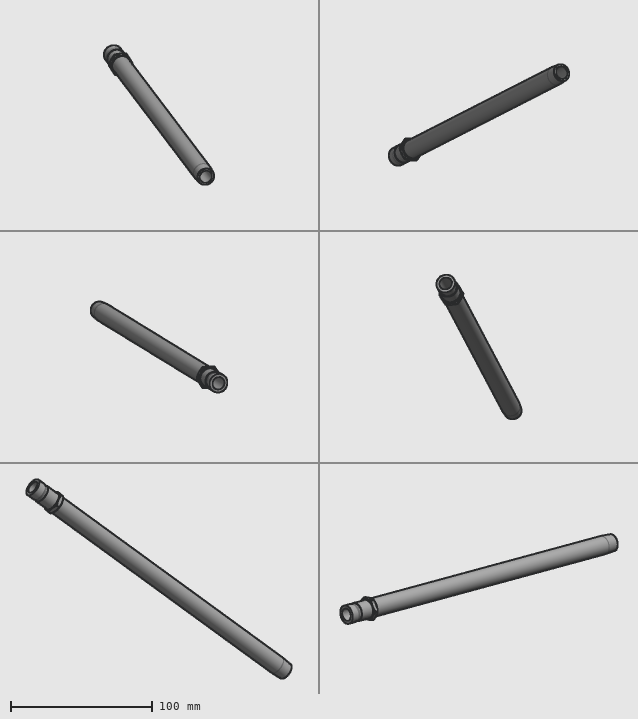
import cadquery as cq
import math

length = 250.0
tube_diameter = 13.5
bore_diameter = 9.0

hex_sides = 6
hex_start = 19.0
hex_width = 3.8
hex_across_flats = 15.0
hex_chamfer_angle = 40.0
hex_chamfer_diameter = 15.0

groove_start = 5.8
groove_slope_length = 1.2
groove_width = 3.0
groove_depth = 0.38

taper_length = 9.0
taper_end_diameter = 12.5
end_chamfer = 0.2

x_start = -length / 2
x_end = length / 2


def revolve_about_x(points):
    """Solid of revolution about X from (x, radius) points."""
    return cq.Workplane("XY").polyline(points).close().revolve(360, (0, 0, 0), (1, 0, 0))


def make_tube():
    """Solid tube body with the groove and the tapered, chamfered end."""
    tube_radius = tube_diameter / 2
    end_radius = taper_end_diameter / 2
    groove_radius = tube_radius - groove_depth
    groove_x = x_start + groove_start
    groove_end_x = groove_x + groove_width
    return revolve_about_x([
        (x_start, 0),
        (x_start, tube_radius),
        (groove_x, tube_radius),
        (groove_x + groove_slope_length, groove_radius),
        (groove_end_x, groove_radius),
        (groove_end_x, tube_radius),
        (x_end - taper_length, tube_radius),
        (x_end - end_chamfer, end_radius),
        (x_end, end_radius - end_chamfer),
        (x_end, 0),
    ])


def make_hex_collar():
    """Hexagon with flats facing +Z and -Z, its corners chamfered on both faces."""
    corner_diameter = hex_across_flats / math.cos(math.pi / hex_sides)
    x_front = x_start + hex_start
    x_back = x_front + hex_width
    prism = (
        cq.Workplane("YZ", origin=(x_front, 0, 0))
        .polygon(hex_sides, corner_diameter)
        .extrude(hex_width)
    )
    face_radius = hex_chamfer_diameter / 2
    corner_radius = corner_diameter / 2
    setback = (corner_radius - face_radius) * math.tan(math.radians(hex_chamfer_angle))
    chamfer_envelope = revolve_about_x([
        (x_front, 0),
        (x_front, face_radius),
        (x_front + setback, corner_radius),
        (x_back - setback, corner_radius),
        (x_back, face_radius),
        (x_back, 0),
    ])
    return prism.intersect(chamfer_envelope)


def make_bore():
    """Through bore along the whole tube."""
    return (
        cq.Workplane("YZ", origin=(x_start, 0, 0))
        .circle(bore_diameter / 2)
        .extrude(length)
    )


result = make_tube().union(make_hex_collar()).cut(make_bore())